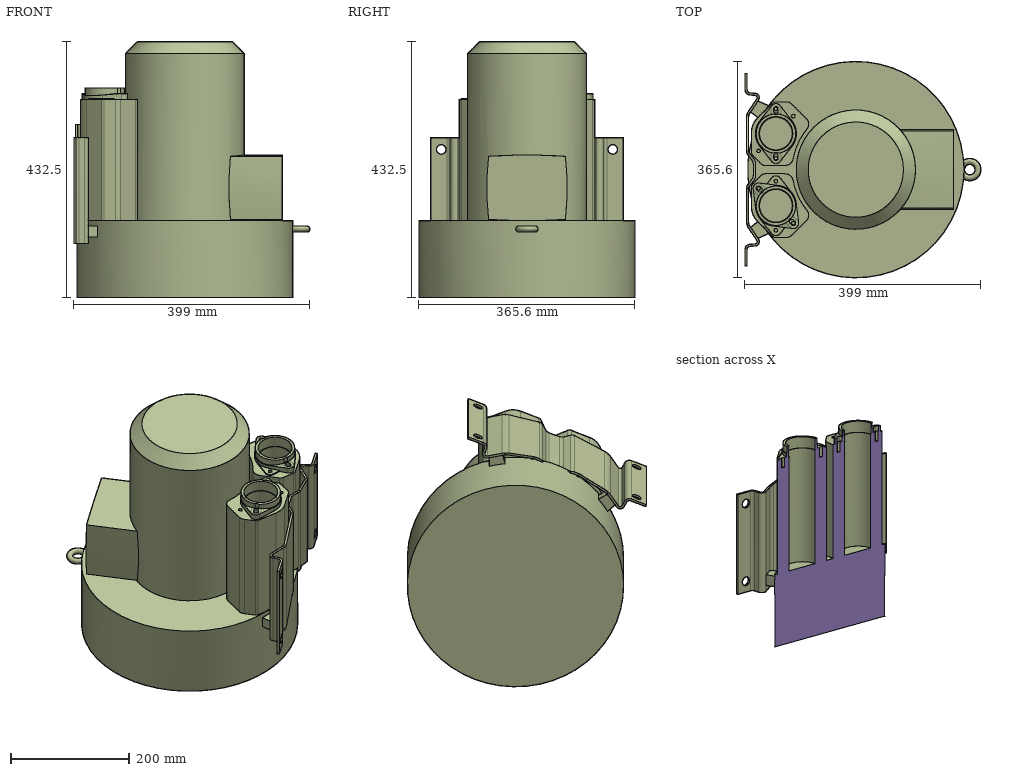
import cadquery as cq
import math


drum_radius = 182.8
drum_height = 130.2
total_height = 432.5
motor_radius = 101.0
motor_chamfer = 20.5

box_end_x = 165.0
box_half_width = 65.0
box_side_bulge = 3.0
box_height = 106.5
box_top_bulge = 2.0

eye_ring_radius = 14.0
eye_wire_radius = 5.0
eye_x = 192.5
eye_z = 116.0

tower_top = 334.5
tower_inner_y = 7.0
tower_outer_y = 114.5
tower_left_x = -176.5
tower_left_y = (26.5, 77.0)
tower_corner_x = -112.0
tower_motor_gap = 6.5
tower_inner_radius = 9.0
tower_heel_radius = 14.5
tower_outer_radius = 6.0
tower_left_radius = 34.0
tower_right_radius = 13.0
tower_motor_corner_radius = 13.0

port_x = -135.0
port_y = 61.0
port_bore_radius = 28.5
tower_bore_radius = 27.5
spigot_radius = 33.5
spigot_notch_radius = 6.5
spigot_notch_offset = 38.5
spigot_top = 354.5
plate_thickness = 1.7
flange_radius = 34.5
flange_top = 345.0
flange_edge_drop = 3.5
ear_radius = 9.0
ear_pad_half_width = 8.2
screw_circle_radius = 41.5
screw_hole_radius = 3.0
screw_hole_depth = 17.5
screw_angles = (45, 90, 225, 270)
slot_radius = 4.0
slot_centres = (38.0, 41.5)
rear_flange_angle = 0
front_flange_angle = 45

sheet = 4.0
bracket_bottom = 91.5
bracket_top = 270.5
bracket_middle_bottom = 123.0
bracket_middle_top = 293.0
bracket_top_half_width = 31.5
bracket_bottom_half_width = 40.5
bracket_slope_end = 93.5
bracket_notch_half_width = 22.0
bracket_tab_x = -187.5
bracket_end_y = 162.5
bracket_hole_y = 145.0
bracket_hole_zs = (110.8, 250.5)
bracket_hole_radius = 8.0
tab_mid_x = bracket_tab_x + sheet / 2
panel_mid_x = -183.0
bracket_bends = [
    (tab_mid_x, 128.5, 7.0),
    (-160.5, 126.5, 5.5),
    (panel_mid_x, 93.0, 19.0),
    (panel_mid_x, 29.0, 8.5),
    (-171.5, 14.0, 12.0),
]

lug_bottom = 102.0
lug_top = 121.0
lug_corners = [(-167.5, 117.3), (-143.0, 106.0), (-143.0, 70.5), (-179.0, 98.2)]


def both_sides(body):
    """The body joined with its mirror image across the XZ plane."""
    return body.union(body.mirror("XZ"))


def make_drum():
    return cq.Workplane("XY").circle(drum_radius).extrude(drum_height)


def make_motor():
    return (
        cq.Workplane("XY")
        .circle(motor_radius)
        .extrude(total_height)
        .faces(">Z")
        .chamfer(motor_chamfer)
    )


def make_terminal_box():
    """Box whose four long faces bulge slightly."""
    half_height = box_height / 2
    side = box_half_width + box_side_bulge
    crown = half_height + box_top_bulge
    middle_z = drum_height + box_top_bulge + half_height
    return (
        cq.Workplane("YZ", origin=(0, 0, middle_z))
        .moveTo(-box_half_width, -half_height)
        .threePointArc((0, -crown), (box_half_width, -half_height))
        .threePointArc((side, 0), (box_half_width, half_height))
        .threePointArc((0, crown), (-box_half_width, half_height))
        .threePointArc((-side, 0), (-box_half_width, -half_height))
        .close()
        .extrude(box_end_x)
    )


def make_lifting_eye():
    ring = cq.Solid.makeTorus(
        eye_ring_radius, eye_wire_radius, cq.Vector(eye_x, 0, eye_z), cq.Vector(0, 0, 1)
    )
    return cq.Workplane(obj=ring)


def make_tower():
    """Tower at +Y with rounded upright corners and a hollow facing the motor."""
    hollow_radius = motor_radius + tower_motor_gap
    left_low, left_high = tower_left_y
    low_corner_x = tower_left_x + left_low - tower_inner_y
    high_corner_x = tower_left_x + tower_outer_y - left_high
    slant = tower_corner_x + tower_outer_y
    tip_y = (slant + math.sqrt(2 * hollow_radius**2 - slant**2)) / 2
    tip = (slant - tip_y, tip_y)
    heel = (-math.sqrt(hollow_radius**2 - tower_inner_y**2), tower_inner_y)
    middle_angle = (math.atan2(tip[1], tip[0]) + math.atan2(heel[1], heel[0])) / 2
    middle = (hollow_radius * math.cos(middle_angle), hollow_radius * math.sin(middle_angle))
    tower = (
        cq.Workplane("XY", origin=(0, 0, drum_height))
        .moveTo(*heel)
        .lineTo(low_corner_x, tower_inner_y)
        .lineTo(tower_left_x, left_low)
        .lineTo(tower_left_x, left_high)
        .lineTo(high_corner_x, tower_outer_y)
        .lineTo(tower_corner_x, tower_outer_y)
        .lineTo(*tip)
        .threePointArc(middle, heel)
        .close()
        .extrude(tower_top - drum_height)
    )
    rounded_corners = [
        (heel, tower_heel_radius),
        ((low_corner_x, tower_inner_y), tower_inner_radius),
        ((tower_left_x, left_low), tower_inner_radius),
        ((tower_left_x, left_high), tower_left_radius),
        ((high_corner_x, tower_outer_y), tower_outer_radius),
        ((tower_corner_x, tower_outer_y), tower_right_radius),
        (tip, tower_motor_corner_radius),
    ]
    middle_z = (drum_height + tower_top) / 2
    for (x, y), radius in rounded_corners:
        corner = cq.selectors.NearestToPointSelector((x, y, middle_z))
        tower = tower.edges("|Z").edges(corner).fillet(radius)
    return tower


def eared_plate(bottom, top):
    """Round plate on the Z axis with two ears along Y, joined by tangent sides."""
    lean = math.asin((flange_radius - ear_radius) / screw_circle_radius)
    side_x = flange_radius * math.cos(lean)
    side_y = flange_radius * math.sin(lean)
    ear_x = ear_radius * math.cos(lean)
    ear_y = screw_circle_radius + ear_radius * math.sin(lean)
    ear_end = screw_circle_radius + ear_radius
    return (
        cq.Workplane("XY", origin=(0, 0, bottom))
        .moveTo(side_x, -side_y)
        .threePointArc((flange_radius, 0), (side_x, side_y))
        .lineTo(ear_x, ear_y)
        .threePointArc((0, ear_end), (-ear_x, ear_y))
        .lineTo(-side_x, side_y)
        .threePointArc((-flange_radius, 0), (-side_x, -side_y))
        .lineTo(-ear_x, -ear_y)
        .threePointArc((0, -ear_end), (ear_x, -ear_y))
        .close()
        .extrude(top - bottom)
    )


def make_flange():
    """Eared flange with a spigot; its top slopes down on both sides of the ear pads."""
    edge_z = flange_top - flange_edge_drop
    reach = screw_circle_radius + ear_radius
    roof = (
        cq.Workplane("XZ")
        .moveTo(-flange_radius, tower_top)
        .lineTo(flange_radius, tower_top)
        .lineTo(flange_radius, edge_z)
        .lineTo(ear_pad_half_width, flange_top)
        .lineTo(-ear_pad_half_width, flange_top)
        .lineTo(-flange_radius, edge_z)
        .close()
        .extrude(reach, both=True)
    )
    flange = eared_plate(tower_top, flange_top).intersect(roof)

    spigot_height = spigot_top - tower_top
    notches = (
        cq.Workplane("XY", origin=(0, 0, flange_top))
        .pushPoints([(0, spigot_notch_offset), (0, -spigot_notch_offset)])
        .circle(spigot_notch_radius)
        .extrude(spigot_top - flange_top)
    )
    spigot = (
        cq.Workplane("XY", origin=(0, 0, tower_top))
        .circle(spigot_radius)
        .extrude(spigot_height)
        .cut(notches)
    )

    slot_start, slot_end = slot_centres
    slot_middle = (slot_start + slot_end) / 2
    slots = (
        cq.Workplane("XY", origin=(0, 0, tower_top + plate_thickness))
        .pushPoints([(0, slot_middle), (0, -slot_middle)])
        .slot2D(slot_end - slot_start + 2 * slot_radius, 2 * slot_radius, 90)
        .extrude(spigot_height)
    )
    return flange.cut(slots).union(spigot)


def make_port_openings():
    """Bore and screw holes of the +Y port, as a body to cut away."""
    port = (port_x, port_y)
    port_bore = (
        cq.Workplane("XY", origin=(*port, tower_top))
        .circle(port_bore_radius)
        .extrude(spigot_top - tower_top)
    )
    tower_bore = (
        cq.Workplane("XY", origin=(*port, drum_height))
        .circle(tower_bore_radius)
        .extrude(tower_top - drum_height)
    )
    screw_places = []
    for degrees in screw_angles:
        angle = math.radians(degrees)
        screw_places.append((screw_circle_radius * math.cos(angle), screw_circle_radius * math.sin(angle)))
    screw_holes = (
        cq.Workplane("XY", origin=(*port, tower_top + plate_thickness))
        .pushPoints(screw_places)
        .circle(screw_hole_radius)
        .extrude(-screw_hole_depth)
    )
    return port_bore.union(tower_bore).union(screw_holes)


def make_lug():
    return (
        cq.Workplane("XY", origin=(0, 0, lug_bottom))
        .polyline(lug_corners)
        .close()
        .extrude(lug_top - lug_bottom)
    )


def bend_path():
    """Middle line of the bracket sheet: straight runs joined by tangent arcs."""
    far_side = [(x, -y, radius) for x, y, radius in reversed(bracket_bends)]
    bends = bracket_bends + far_side
    ends = [(tab_mid_x, bracket_end_y), (tab_mid_x, -bracket_end_y)]
    points = [ends[0]] + [(x, y) for x, y, _ in bends] + [ends[1]]
    path = cq.Workplane("XY").moveTo(*ends[0])
    for before, (x, y, radius), after in zip(points, bends, points[2:]):
        corner = cq.Vector(x, y)
        back = (cq.Vector(*before) - corner).normalized()
        ahead = (cq.Vector(*after) - corner).normalized()
        half_angle = back.getAngle(ahead) / 2
        run = radius / math.tan(half_angle)
        start = corner + back * run
        end = corner + ahead * run
        middle = corner + (back + ahead).normalized() * (radius / math.sin(half_angle) - radius)
        path = path.lineTo(start.x, start.y).threePointArc((middle.x, middle.y), (end.x, end.y))
    return path.lineTo(*ends[1])


def make_bracket_sheet():
    """Bent sheet trimmed to its raised middle, with four mounting holes."""
    sheet_height = bracket_middle_top - bracket_bottom
    sheet_middle_z = (bracket_middle_top + bracket_bottom) / 2
    bent = (
        cq.Workplane("XZ", origin=(tab_mid_x, bracket_end_y, sheet_middle_z))
        .rect(sheet, sheet_height)
        .sweep(bend_path())
    )
    outline = (
        cq.Workplane("YZ")
        .polyline([
            (-bracket_end_y, bracket_bottom),
            (-bracket_slope_end, bracket_bottom),
            (-bracket_bottom_half_width, bracket_middle_bottom),
            (-bracket_notch_half_width, bracket_middle_bottom),
            (-bracket_notch_half_width, drum_height),
            (bracket_notch_half_width, drum_height),
            (bracket_notch_half_width, bracket_middle_bottom),
            (bracket_bottom_half_width, bracket_middle_bottom),
            (bracket_slope_end, bracket_bottom),
            (bracket_end_y, bracket_bottom),
            (bracket_end_y, bracket_top),
            (bracket_slope_end, bracket_top),
            (bracket_top_half_width, bracket_middle_top),
            (-bracket_top_half_width, bracket_middle_top),
            (-bracket_slope_end, bracket_top),
            (-bracket_end_y, bracket_top),
        ])
        .close()
        .extrude(-drum_radius - 2 * sheet)
    )
    holes = (
        cq.Workplane("YZ", origin=(bracket_tab_x, 0, 0))
        .pushPoints([(y, z) for y in (-bracket_hole_y, bracket_hole_y) for z in bracket_hole_zs])
        .circle(bracket_hole_radius)
        .extrude(sheet)
    )
    return bent.intersect(outline).cut(holes)


def make_blower(bracket_sheet):
    blower = make_drum().union(make_motor()).union(make_terminal_box()).union(make_lifting_eye())
    blower = blower.union(both_sides(make_tower()))
    flange = make_flange()
    plate = eared_plate(tower_top, tower_top + plate_thickness)
    for side, angle in ((1, rear_flange_angle), (-1, front_flange_angle)):
        port = (port_x, side * port_y, 0)
        turned_flange = flange.rotate((0, 0, 0), (0, 0, 1), angle)
        blower = blower.union(plate.translate(port)).union(turned_flange.translate(port))
    blower = blower.cut(both_sides(make_port_openings()))
    return blower.union(both_sides(make_lug().cut(bracket_sheet)))


def make_bracket(bracket_sheet):
    """The sheet with relief where its inner bends touch the drum."""
    return bracket_sheet.cut(make_drum())


bracket_sheet = make_bracket_sheet()
blower = make_blower(bracket_sheet)
bracket = make_bracket(bracket_sheet)

result = cq.Compound.makeCompound([blower.solids().val(), bracket.solids().val()])